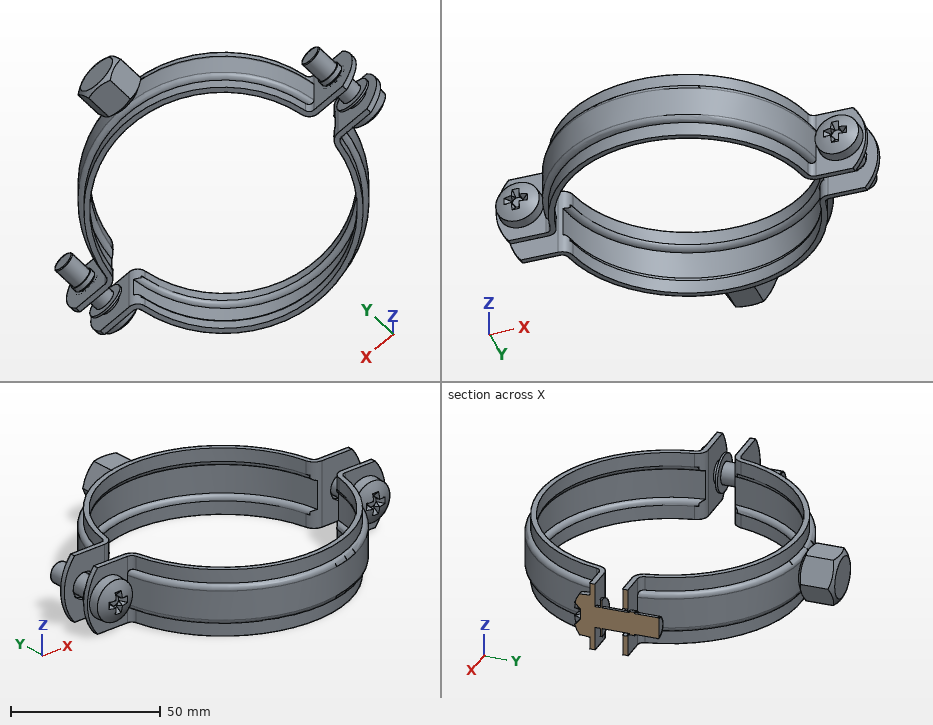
import cadquery as cq
import math

strip_thickness = 2.0
strip_width = 25.0
ring_inner_radius = 44.9
ring_outer_radius = ring_inner_radius + strip_thickness
gap = 9.9
bend_inner_radius = 2.2
bend_outer_radius = bend_inner_radius + strip_thickness

length = 132.0
flange_corner_x = 61.5
flange_inner_y = gap / 2
flange_outer_y = flange_inner_y + strip_thickness

bead_crest_radius = ring_outer_radius + strip_thickness
bead_foot_z = 7.4
bead_flat_z = bead_foot_z - strip_thickness

screw_x = 57.0
shank_diameter = 8.0
shank_tip_y = 18.1
tip_diameter = 7.4
tip_chamfer = (shank_diameter - tip_diameter) / 2
collar_diameter = 9.0
collar_clearance = 0.4
collar_base_y = flange_outer_y + collar_clearance
collar_height = 2.0
relief_diameter = 10.0
relief_depth = 1.6
washer_diameter = 14.0
washer_thickness = 0.8
washer_y = -3.2
head_base_diameter = 16.1
head_rim_diameter = 15.6
head_rim_height = 3.7
head_height = 6.1

recess_depth = 2.6
recess_length = 9.8
recess_floor_diameter = 3.8
recess_slot_width = 2.9
recess_wall_angle = 18.0

nut_across_flats = 17.2
nut_across_corners = nut_across_flats / math.cos(math.radians(30))
nut_end_y = 62.0
nut_base_y = 48.5
nut_end_radius = 7.4
nut_seat_radius = 6.0
nut_cone_angle = 30.0
nut_cone_slope = math.tan(math.radians(nut_cone_angle))


def half_strip():
    """Half ring on the +Y side with a bent-out flange at each end, at full strip width."""
    bend_y = flange_outer_y + bend_inner_radius
    bend_x = math.sqrt((ring_outer_radius + bend_inner_radius) ** 2 - bend_y**2)
    ring_end_angle = math.atan2(bend_y, bend_x)
    bend_middle_angle = (ring_end_angle - math.pi / 2) / 2

    def on_ring(radius):
        return radius * math.cos(ring_end_angle), radius * math.sin(ring_end_angle)

    def on_bend(radius):
        return bend_x - radius * math.cos(bend_middle_angle), bend_y + radius * math.sin(bend_middle_angle)

    def mirrored(point):
        return -point[0], point[1]

    tip_x = length / 2
    return (
        cq.Workplane("XY")
        .moveTo(tip_x, flange_inner_y)
        .lineTo(bend_x, flange_inner_y)
        .threePointArc(on_bend(bend_outer_radius), on_ring(ring_inner_radius))
        .threePointArc((0, ring_inner_radius), mirrored(on_ring(ring_inner_radius)))
        .threePointArc(mirrored(on_bend(bend_outer_radius)), (-bend_x, flange_inner_y))
        .lineTo(-tip_x, flange_inner_y)
        .lineTo(-tip_x, flange_outer_y)
        .lineTo(-bend_x, flange_outer_y)
        .threePointArc(mirrored(on_bend(bend_inner_radius)), mirrored(on_ring(ring_outer_radius)))
        .threePointArc((0, ring_outer_radius), on_ring(ring_outer_radius))
        .threePointArc(on_bend(bend_inner_radius), (bend_x, flange_outer_y))
        .lineTo(tip_x, flange_outer_y)
        .close()
        .extrude(strip_width / 2, both=True)
    )


def rounded_ends():
    """Block whose outline gives the flanges their arched ends."""
    corner_z = strip_width / 2
    return (
        cq.Workplane("XZ")
        .moveTo(-flange_corner_x, -corner_z)
        .lineTo(flange_corner_x, -corner_z)
        .threePointArc((length / 2, 0), (flange_corner_x, corner_z))
        .lineTo(-flange_corner_x, corner_z)
        .threePointArc((-length / 2, 0), (-flange_corner_x, -corner_z))
        .close()
        .extrude(length / 2, both=True)
    )


def bead():
    """Raised half ring on the +Y side with rounded shoulders, ending on the flange backs."""
    shoulder = strip_thickness * math.sqrt(0.5)
    shoulder_point = (ring_outer_radius + shoulder, bead_flat_z + shoulder)
    ring = (
        cq.Workplane("XZ")
        .moveTo(ring_inner_radius, -bead_foot_z)
        .lineTo(ring_outer_radius, -bead_foot_z)
        .threePointArc((shoulder_point[0], -shoulder_point[1]), (bead_crest_radius, -bead_flat_z))
        .lineTo(bead_crest_radius, bead_flat_z)
        .threePointArc(shoulder_point, (ring_outer_radius, bead_foot_z))
        .lineTo(ring_inner_radius, bead_foot_z)
        .close()
        .revolve(180, (0, 0), (0, 1))
    )
    return ring.cut(cq.Workplane("XY").box(length, 2 * flange_outer_y, strip_width))


def groove():
    """Hollow behind the bead, with rounded lips on the inside of the ring."""
    lip = strip_thickness * (1 - math.sqrt(0.5))
    lip_point = (ring_inner_radius + lip, bead_flat_z + lip)
    return (
        cq.Workplane("XZ")
        .moveTo(0, -bead_foot_z)
        .lineTo(ring_inner_radius, -bead_foot_z)
        .threePointArc((lip_point[0], -lip_point[1]), (ring_outer_radius, -bead_flat_z))
        .lineTo(ring_outer_radius, bead_flat_z)
        .threePointArc(lip_point, (ring_inner_radius, bead_foot_z))
        .lineTo(0, bead_foot_z)
        .close()
        .revolve(360, (0, 0), (0, 1))
    )


def disc(diameter, start_y, height):
    """Cylinder on the screw axis that grows from start_y towards +Y."""
    return cq.Workplane("XZ", origin=(0, start_y, 0)).circle(diameter / 2).extrude(-height)


def cross_recess():
    """Cross of tapered slots that deepens from the top of the head to a flat round floor."""
    top_y = -flange_outer_y - head_height
    sloping_ends = (
        cq.Workplane("XZ", origin=(0, top_y, 0))
        .rect(recess_length, recess_length)
        .workplane(offset=-recess_depth)
        .rect(recess_floor_diameter, recess_floor_diameter)
        .loft()
    )
    recess = disc(recess_floor_diameter, top_y, recess_depth)
    slot_length = 2 * recess_length
    for slot_size in ((slot_length, recess_slot_width), (recess_slot_width, slot_length)):
        slot = (
            cq.Workplane("XZ", origin=(0, top_y, 0))
            .rect(*slot_size)
            .extrude(-recess_depth, taper=recess_wall_angle)
        )
        recess = recess.union(slot.intersect(sloping_ends))
    return recess


def screw():
    """Pan-head screw on the Y axis with its washer and the threaded collar."""
    head_base_y = -flange_outer_y
    head_rim_y = head_base_y - head_rim_height
    head_top_y = head_base_y - head_height
    rim_radius = head_rim_diameter / 2
    dome_height = head_height - head_rim_height
    dome_radius = (rim_radius**2 + dome_height**2) / (2 * dome_height)
    dome_middle_x = rim_radius / 2
    dome_middle_y = head_top_y + dome_radius - math.sqrt(dome_radius**2 - dome_middle_x**2)
    head = (
        cq.Workplane("XY")
        .moveTo(0, head_base_y)
        .lineTo(head_base_diameter / 2, head_base_y)
        .lineTo(rim_radius, head_rim_y)
        .threePointArc((dome_middle_x, dome_middle_y), (0, head_top_y))
        .close()
        .revolve(360, (0, 0), (0, 1))
    )
    shank = disc(shank_diameter, head_base_y, shank_tip_y - head_base_y).faces(">Y").chamfer(tip_chamfer)
    collar = disc(collar_diameter, collar_base_y, collar_height)
    washer = disc(washer_diameter, washer_y, washer_thickness)
    return head.cut(cross_recess()).union(shank).union(collar).union(washer)


def nut():
    """Hexagonal nut with both ends coned, corners along X, seated on the crest of the bead."""
    corner_radius = nut_across_corners / 2
    prism = (
        cq.Workplane("XZ", origin=(0, nut_base_y, 0))
        .polygon(6, nut_across_corners)
        .extrude(nut_base_y - nut_end_y)
    )
    turned = (
        cq.Workplane("XY")
        .moveTo(0, nut_base_y)
        .lineTo(nut_seat_radius, nut_base_y)
        .lineTo(corner_radius, nut_base_y + (corner_radius - nut_seat_radius) * nut_cone_slope)
        .lineTo(corner_radius, nut_end_y - (corner_radius - nut_end_radius) * nut_cone_slope)
        .lineTo(nut_end_radius, nut_end_y)
        .lineTo(0, nut_end_y)
        .close()
        .revolve(360, (0, 0), (0, 1))
    )
    return prism.intersect(turned)


def half_clamp():
    """Finished sheet-metal half on the +Y side."""
    hollow = groove()
    flat_strip = half_strip().intersect(rounded_ends()).cut(hollow)
    return flat_strip.union(bead().cut(hollow))


screw_places = [(side * screw_x, 0, 0) for side in (-1, 1)]

upper_half = half_clamp().union(nut())
for place in screw_places:
    relief = disc(relief_diameter, flange_inner_y, relief_depth)
    upper_half = upper_half.cut(relief.translate(place))

result = upper_half
for place in screw_places:
    result = result.union(screw().translate(place))
result = result.union(half_clamp().mirror("XZ"))